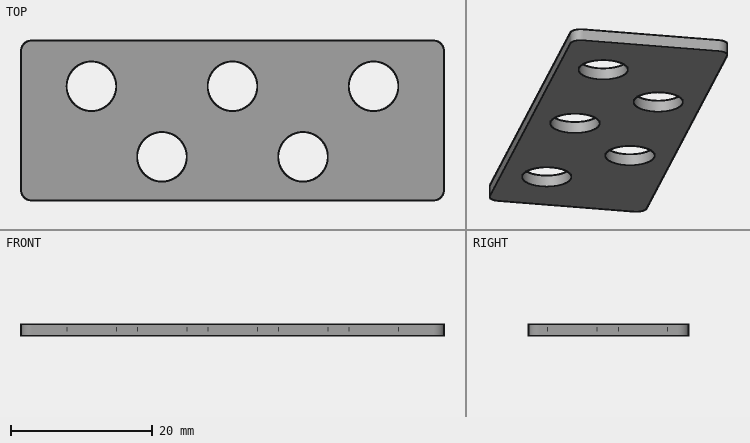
import cadquery as cq

length = 60.0
width = 22.7
thickness = 1.7
corner_radius = 1.5

hole_diameter = 7.0
hole_pitch = 20.0
row_spacing = hole_pitch / 2
back_edge_margin = 3.0
back_row_count = 3
front_row_count = 2
back_row_y = width / 2 - back_edge_margin - hole_diameter / 2
front_row_y = back_row_y - row_spacing


def row_points(count, y):
    """Hole centres of one row, evenly pitched and centred on the plate in X."""
    first_x = -hole_pitch * (count - 1) / 2
    return [(first_x + i * hole_pitch, y) for i in range(count)]


def make_plate():
    """Flat plate with rounded vertical corners, its underside on Z = 0."""
    plate = cq.Workplane("XY").box(length, width, thickness, centered=(True, True, False))
    return plate.edges("|Z").fillet(corner_radius)


def drill_holes(plate):
    """Cut both hole rows through the full plate thickness."""
    centres = row_points(back_row_count, back_row_y) + row_points(front_row_count, front_row_y)
    return plate.faces(">Z").workplane(origin=(0, 0, thickness)).pushPoints(centres).hole(hole_diameter)


result = drill_holes(make_plate())